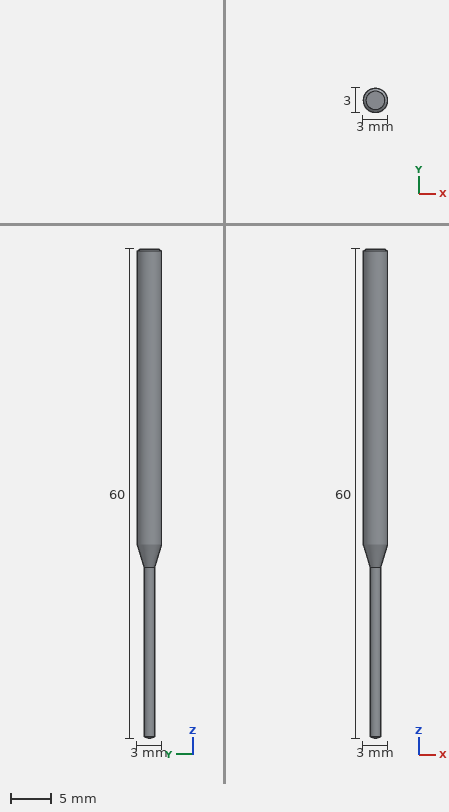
import cadquery as cq

TOTAL_LENGTH = 60.0
SHANK_DIAMETER = 3.0
NEEDLE_DIAMETER = 1.3
NEEDLE_LENGTH = 21.0
TAPER_LENGTH = 2.75
TIP_HEIGHT = 0.25
CHAMFER_WIDTH = 0.35
CHAMFER_HEIGHT = 0.25

shank_radius = SHANK_DIAMETER / 2
needle_radius = NEEDLE_DIAMETER / 2
shank_bottom = NEEDLE_LENGTH + TAPER_LENGTH


def make_shank():
    """Round shank, chamfered at the top and tapering to the needle diameter."""
    return (
        cq.Workplane("YZ")
        .moveTo(0, NEEDLE_LENGTH)
        .lineTo(-needle_radius, NEEDLE_LENGTH)
        .lineTo(-shank_radius, shank_bottom)
        .lineTo(-shank_radius, TOTAL_LENGTH - CHAMFER_HEIGHT)
        .lineTo(CHAMFER_WIDTH - shank_radius, TOTAL_LENGTH)
        .lineTo(0, TOTAL_LENGTH)
        .close()
        .revolve(360, (0, 0), (0, 1))
    )


def make_needle():
    """Thin round needle with a shallow conical tip, butting against the taper."""
    return (
        cq.Workplane("XZ")
        .moveTo(0, 0)
        .lineTo(-needle_radius, TIP_HEIGHT)
        .lineTo(-needle_radius, NEEDLE_LENGTH)
        .lineTo(0, NEEDLE_LENGTH)
        .close()
        .revolve(360, (0, 0), (0, 1))
    )


shank = make_shank()
needle = make_needle()

result = cq.Compound.makeCompound([shank.val(), needle.val()])